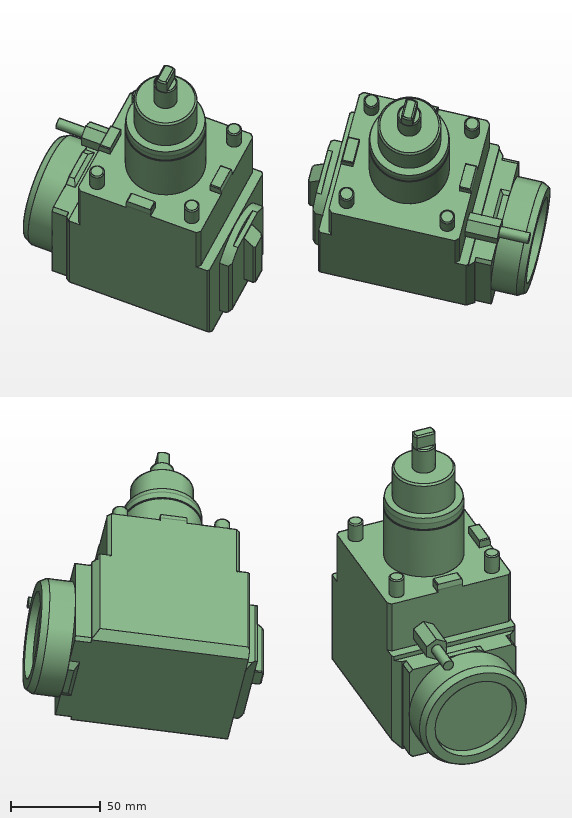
import cadquery as cq


width = 75.0
half_width = width / 2
shoulder_z = -32.3
bottom_z = -95.0
upper_edge_chamfer = 2.0
lower_edge_chamfer = 1.0
lower_right_x = 43.2
ledge_x = -42.8
ledge_z = -35.0
taper_start_x = -42.0
taper_end_x = -45.7
taper_end_half_width = 33.0
bottom_chamfer = 4.9

collar_radius, collar_top = 22.5, 40.0
collar_cone_height, collar_cone_inset = 3.3, 0.5
groove_z, groove_width, groove_depth = 32.1, 0.5, 0.4
pilot_radius, pilot_top, pilot_chamfer = 17.6, 59.9, 1.0
shaft_radius, shaft_top, shaft_chamfer = 6.5, 75.5, 0.7
tang_thickness, tang_top, tang_chamfer = 6.5, 83.9, 0.9
tang_radius = 6.4

pin_spacing = 57.9
pin_radius, pin_height, pin_chamfer = 4.2, 11.6, 0.7
key_length, key_depth, key_height = 15.0, 6.9, 4.9
key_bevel_height, key_bevel_inset = 3.3, 0.7
key_end_chamfer = 0.5

fitting_y, fitting_z = 16.3, -24.3
hex_corner_radius, hex_end_x = 6.9, -56.0
cable_radius, cable_end_x = 3.0, -73.0

axis_z = -65.2
plate_end_x = -55.0
plate_half_width = 32.3
plate_edge_chamfer = 2.0
ring_end_x, ring_radius = -73.5, 32.5
ring_chamfer_length, ring_chamfer_inset = 4.0, 2.2
recess_radius, recess_floor_radius, recess_depth = 24.7, 24.1, 4.5
lug_end_x = -49.2
lug_top_half_width = 9.3
lug_root_half_width = 13.5
lug_root_height = 30.0
lug_bevel_length = 2.4

cap_end_x, cap_radius = 50.3, 32.0
cap_half_width = 22.9
cap_chamfer = 1.6
cap_slope_z = -91.5
cap_notch_start_x, cap_notch_height = 47.4, 29.0
knob_end_x, knob_half_width = 57.0, 5.3
knob_top_z, knob_slope_end_z, knob_bottom_z = -37.0, -43.4, -76.6
knob_side_chamfer, knob_bottom_chamfer = 1.0, 0.5


def box(x_range, y_range, z_range):
    sizes = [high - low for low, high in (x_range, y_range, z_range)]
    corner = (x_range[0], y_range[0], z_range[0])
    return cq.Workplane("XY").box(*sizes, centered=False).translate(corner)


def rod_x(start_x, end_x, radius, y, z):
    """Round bar along X."""
    return cq.Workplane("YZ", origin=(start_x, y, z)).circle(radius).extrude(end_x - start_x)


def make_housing():
    upper = box((-half_width, half_width), (-half_width, half_width), (shoulder_z, 0))
    upper = upper.edges("|Z").chamfer(upper_edge_chamfer)

    plan = [
        (lower_right_x, -half_width),
        (lower_right_x, half_width),
        (taper_start_x, half_width),
        (taper_end_x, taper_end_half_width),
        (taper_end_x, -taper_end_half_width),
        (taper_start_x, -half_width),
    ]
    lower = cq.Workplane("XY", origin=(0, 0, bottom_z)).polyline(plan).close()
    lower = lower.extrude(shoulder_z - bottom_z)
    lower = lower.edges("|Z and >X").chamfer(lower_edge_chamfer)

    section = cq.Workplane("XY").box(4 * width, width, shoulder_z - bottom_z)
    section = section.edges("|X and <Z").chamfer(bottom_chamfer)
    lower = lower.intersect(section.translate((0, 0, (shoulder_z + bottom_z) / 2)))
    lower = lower.cut(box((taper_end_x, ledge_x), (-half_width, half_width), (ledge_z, shoulder_z)))
    return upper.union(lower)


def make_spindle():
    profile = [
        (0, 0),
        (collar_radius, 0),
        (collar_radius, groove_z - groove_width / 2),
        (collar_radius - groove_depth, groove_z - groove_width / 2),
        (collar_radius - groove_depth, groove_z + groove_width / 2),
        (collar_radius, groove_z + groove_width / 2),
        (collar_radius, collar_top - collar_cone_height),
        (collar_radius - collar_cone_inset, collar_top),
        (pilot_radius, collar_top),
        (pilot_radius, pilot_top - pilot_chamfer),
        (pilot_radius - pilot_chamfer, pilot_top),
        (shaft_radius, pilot_top),
        (shaft_radius, shaft_top - shaft_chamfer),
        (shaft_radius - shaft_chamfer, shaft_top),
        (0, shaft_top),
    ]
    stepped = cq.Workplane("XZ").polyline(profile).close().revolve(360, (0, 0), (0, 1))
    tang_base = shaft_top - shaft_chamfer
    tang = cq.Workplane("XY", origin=(0, 0, tang_base)).circle(tang_radius)
    tang = tang.extrude(tang_top - tang_base)
    half_tang = tang_thickness / 2
    tang = tang.intersect(box((-half_tang, half_tang), (-width, width), (0, tang_top)))
    tang = tang.faces(">Z").chamfer(tang_chamfer)
    return stepped.union(tang)


def make_pins():
    pins = cq.Workplane("XY").rect(pin_spacing, pin_spacing, forConstruction=True).vertices()
    return pins.circle(pin_radius).extrude(pin_height).faces(">Z").chamfer(pin_chamfer)


def make_keys():
    """Keys with a bevelled outer face on the -Y, +X and -X edges of the top face."""
    inner_face = half_width - key_depth
    profile = [
        (inner_face, 0),
        (half_width, 0),
        (half_width, key_height - key_bevel_height),
        (half_width - key_bevel_inset, key_height),
        (inner_face, key_height),
    ]
    key = cq.Workplane("XZ").polyline(profile).close().extrude(key_length / 2, both=True)
    key = key.faces(">Z").edges("|X").chamfer(key_end_chamfer)
    keys = key
    for angle in (180, -90):
        keys = keys.union(key.rotate((0, 0, 0), (0, 0, 1), angle))
    return keys


def make_sensor_fitting():
    hexagon = cq.Workplane("YZ", origin=(hex_end_x, fitting_y, fitting_z)).polygon(6, 2 * hex_corner_radius)
    hexagon = hexagon.extrude(-half_width - hex_end_x)
    hexagon = hexagon.rotate((0, fitting_y, fitting_z), (1, fitting_y, fitting_z), 90)
    return hexagon.union(rod_x(cable_end_x, hex_end_x, cable_radius, fitting_y, fitting_z))


def make_lugs():
    """Bevelled lugs above and below the adapter plate, behind the ring."""
    slope_run = lug_root_half_width - lug_top_half_width
    slope_rise = ring_radius - lug_root_height
    foot = lug_root_height - slope_rise
    foot_half_width = lug_root_half_width + slope_run
    outline = [
        (foot_half_width, foot),
        (lug_top_half_width, ring_radius),
        (-lug_top_half_width, ring_radius),
        (-foot_half_width, foot),
    ]
    lug = cq.Workplane("YZ", origin=(plate_end_x, 0, 0)).polyline(outline).close()
    lug = lug.extrude(lug_end_x - plate_end_x)
    bevel = [
        (lug_end_x - lug_bevel_length, ring_radius),
        (lug_end_x, ring_radius),
        (lug_end_x, lug_root_height),
    ]
    lug = lug.cut(cq.Workplane("XZ").polyline(bevel).close().extrude(width, both=True))
    lugs = lug.union(lug.mirror("XY"))
    return lugs.translate((0, 0, axis_z))


def make_tool_head():
    plate = box((plate_end_x, taper_end_x), (-plate_half_width, plate_half_width), (bottom_z, ledge_z))
    plate = plate.edges("|X").chamfer(plate_edge_chamfer)

    floor_x = ring_end_x + recess_depth
    profile = [
        (plate_end_x, 0),
        (plate_end_x, ring_radius),
        (ring_end_x + ring_chamfer_length, ring_radius),
        (ring_end_x, ring_radius - ring_chamfer_inset),
        (ring_end_x, recess_radius),
        (floor_x, recess_floor_radius),
        (floor_x, 0),
    ]
    ring = cq.Workplane("XY").polyline(profile).close().revolve(360, (0, 0), (1, 0))
    return plate.union(ring.translate((0, 0, axis_z))).union(make_lugs())


def make_end_cap():
    cap = rod_x(lower_right_x, cap_end_x, cap_radius, 0, axis_z)
    sides = box((0, cap_end_x), (-cap_half_width, cap_half_width), (2 * bottom_z, 0))
    cap = cap.intersect(sides).edges("|Z and >X").chamfer(cap_chamfer)

    cap_length = cap_end_x - lower_right_x
    slope = [
        (lower_right_x, cap_slope_z),
        (cap_end_x, cap_slope_z + cap_length),
        (cap_end_x, bottom_z - cap_length),
        (lower_right_x, bottom_z - cap_length),
    ]
    cap = cap.cut(cq.Workplane("XZ").polyline(slope).close().extrude(width, both=True))
    notch_floor_z = axis_z + cap_notch_height
    return cap.cut(box((cap_notch_start_x, cap_end_x), (-width, width), (notch_floor_z, 0)))


def make_knob():
    profile = [
        (cap_end_x, knob_bottom_z),
        (knob_end_x, knob_bottom_z),
        (knob_end_x, knob_slope_end_z),
        (cap_end_x, knob_top_z),
    ]
    knob = cq.Workplane("XZ").polyline(profile).close().extrude(knob_half_width, both=True)
    knob = knob.edges("|Z and >X").chamfer(knob_side_chamfer)
    return knob.faces("<Z").edges("not <X").chamfer(knob_bottom_chamfer)


result = make_housing()
for feature in (
    make_spindle(),
    make_pins(),
    make_keys(),
    make_sensor_fitting(),
    make_tool_head(),
    make_end_cap(),
    make_knob(),
):
    result = result.union(feature)